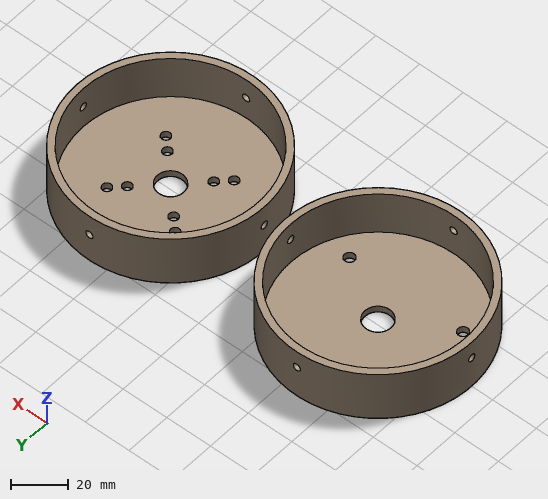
import cadquery as cq
import math

outer_diameter = 86.0
inner_diameter = 80.0
cup_height = 23.2
floor_thickness = 3.0
center_hole_diameter = 12.0
side_hole_diameter = 3.3
side_hole_count = 4

overall_length = 181.0
cup_spacing = overall_length - outer_diameter

triple_hole_diameter = 4.5
triple_hole_radius = 30.0
triple_hole_count = 3
triple_side_hole_depth = 8.1

cross_hole_diameter = 4.0
cross_inner_radius = 15.0
cross_outer_radius = 22.0
cross_hole_count = 4
cross_side_hole_depth = 9.6


def open_cup():
    """Round cup with a flat floor and a central through hole."""
    cup = cq.Workplane("XY").circle(outer_diameter / 2).extrude(cup_height)
    cavity = (
        cq.Workplane("XY", origin=(0, 0, floor_thickness))
        .circle(inner_diameter / 2)
        .extrude(cup_height - floor_thickness)
    )
    center_hole = cq.Workplane("XY").circle(center_hole_diameter / 2).extrude(floor_thickness)
    return cup.cut(cavity).cut(center_hole)


def cut_floor_holes(cup, diameter, circle_radius, count, start_angle):
    """Cut a ring of equally spaced holes through the floor."""
    holes = (
        cq.Workplane("XY")
        .polarArray(circle_radius, start_angle, 360, count)
        .circle(diameter / 2)
        .extrude(floor_thickness)
    )
    return cup.cut(holes)


def cut_side_holes(cup, depth_below_rim):
    """Cut equally spaced radial holes through the wall, on the X and Y axes."""
    for index in range(side_hole_count):
        angle = 2 * math.pi * index / side_hole_count
        drill = cq.Solid.makeCylinder(
            side_hole_diameter / 2,
            outer_diameter / 2,
            cq.Vector(0, 0, cup_height - depth_below_rim),
            cq.Vector(math.cos(angle), math.sin(angle), 0),
        )
        cup = cup.cut(cq.Workplane(drill))
    return cup


def three_hole_cup():
    """Cup whose floor has three holes, one of them on the +Y side."""
    cup = open_cup()
    cup = cut_floor_holes(cup, triple_hole_diameter, triple_hole_radius, triple_hole_count, 90)
    return cut_side_holes(cup, triple_side_hole_depth)


def cross_hole_cup():
    """Cup whose floor has two rings of four holes along the diagonals."""
    cup = open_cup()
    for circle_radius in (cross_inner_radius, cross_outer_radius):
        cup = cut_floor_holes(cup, cross_hole_diameter, circle_radius, cross_hole_count, 45)
    return cut_side_holes(cup, cross_side_hole_depth)


left_cup = three_hole_cup().translate((-cup_spacing / 2, 0, 0))
right_cup = cross_hole_cup().translate((cup_spacing / 2, 0, 0))

result = cq.Compound.makeCompound([left_cup.val(), right_cup.val()])